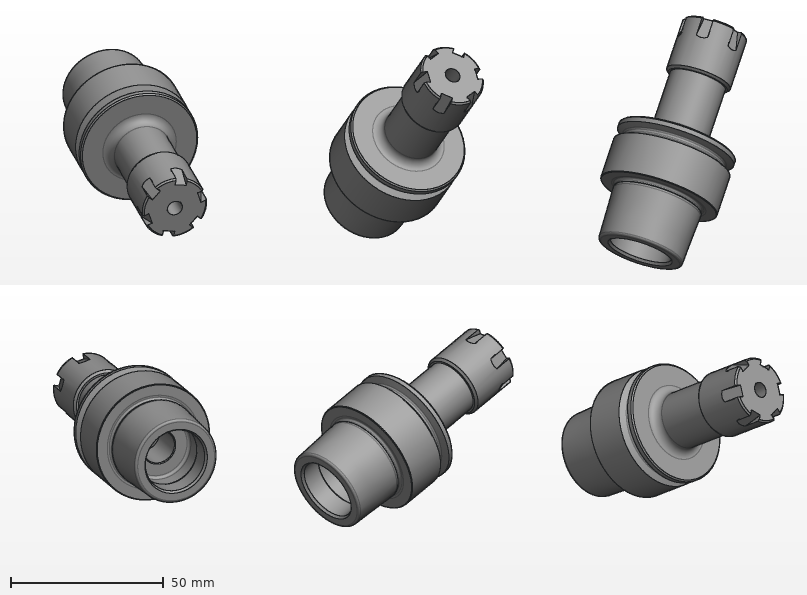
import cadquery as cq
import math

total_length = 79.9
taper_length = 17.7
collar_start = 19.8
collar_end = 39.9
nut_start = 61.4

taper_small_radius = 14.4
taper_large_radius = 15.1
mouth_rounding = 0.8

relief_radius = 14.8
relief_start = 18.45
relief_ramp = 0.2
relief_end = 19.2
undercut_fillet = 0.7
undercut_outer_radius = 16.2

collar_radius = 20.015
collar_front_chamfer = 0.2
collar_back_chamfer = 0.5
groove_center = 35.8
groove_top_width = 4.1
groove_bottom_width = 1.6
groove_depth = 2.55
groove_fillet = 0.6

neck_radius = 9.5
neck_fillet = 3.0

mouth_radius = 10.5
mouth_chamfer_depth = 0.55
mouth_chamfer_length = 0.95
mouth_depth = 7.8
clamp_groove_radius = 10.9
clamp_groove_ramp = 0.4
cavity_depth = 14.9
cavity_floor_radius = 9.9
inner_bore_radius = 5.6
inner_bore_chamfer = 0.3
inner_bore_depth = 28.0
through_radius = 2.55

nut_radius = 10.99
nut_back_chamfer = 0.8
nut_front_chamfer = 0.55
slot_count = 6
slot_width = 3.9
slot_length = 7.1
slot_slope = 18.0
slot_phase = 13.0


def turned(profile):
    """Revolve an (x, radius) outline around the X axis."""
    return profile.close().revolve(360, (0, 0, 0), (1, 0, 0))


def make_holder_blank():
    """Taper, collar and neck as one turned body, still without groove and bore."""
    profile = (
        cq.Workplane("XY")
        .moveTo(0, 0)
        .lineTo(0, taper_small_radius - mouth_rounding)
        .radiusArc((mouth_rounding, taper_small_radius), mouth_rounding)
        .lineTo(taper_length, taper_large_radius)
        .lineTo(relief_start, taper_large_radius)
        .lineTo(relief_start + relief_ramp, relief_radius)
        .lineTo(relief_end, relief_radius)
        .radiusArc(
            (relief_end + undercut_fillet, relief_radius + undercut_fillet),
            -undercut_fillet,
        )
        .lineTo(collar_start, undercut_outer_radius)
        .lineTo(collar_start, collar_radius - collar_front_chamfer)
        .lineTo(collar_start + collar_front_chamfer, collar_radius)
        .lineTo(collar_end - collar_back_chamfer, collar_radius)
        .lineTo(collar_end, collar_radius - collar_back_chamfer)
        .lineTo(collar_end, neck_radius + neck_fillet)
        .radiusArc((collar_end + neck_fillet, neck_radius), -neck_fillet)
        .lineTo(nut_start, neck_radius)
        .lineTo(nut_start, 0)
    )
    return turned(profile)


def make_v_groove():
    """Ring cutter for the collar groove, with rounded bottom corners."""
    bottom = collar_radius - groove_depth
    profile = (
        cq.Workplane("XY")
        .moveTo(groove_center - groove_top_width / 2, collar_radius)
        .lineTo(groove_center - groove_bottom_width / 2, bottom)
        .lineTo(groove_center + groove_bottom_width / 2, bottom)
        .lineTo(groove_center + groove_top_width / 2, collar_radius)
    )
    bottom_edges = cq.selectors.RadiusNthSelector(0)
    return turned(profile).edges(bottom_edges).fillet(groove_fillet)


def make_bore():
    """Cutter for the stepped bore, widest in the clamping groove behind the mouth."""
    floor_fillet = clamp_groove_radius - cavity_floor_radius
    profile = (
        cq.Workplane("XY")
        .moveTo(0, 0)
        .lineTo(0, mouth_radius + mouth_chamfer_depth)
        .lineTo(mouth_chamfer_length, mouth_radius)
        .lineTo(mouth_depth, mouth_radius)
        .lineTo(mouth_depth + clamp_groove_ramp, clamp_groove_radius)
        .lineTo(cavity_depth - floor_fillet, clamp_groove_radius)
        .radiusArc((cavity_depth, cavity_floor_radius), floor_fillet)
        .lineTo(cavity_depth, inner_bore_radius + inner_bore_chamfer)
        .lineTo(cavity_depth + inner_bore_chamfer, inner_bore_radius)
        .lineTo(inner_bore_depth, inner_bore_radius)
        .lineTo(inner_bore_depth, through_radius)
        .lineTo(nut_start, through_radius)
        .lineTo(nut_start, 0)
    )
    return turned(profile)


def make_wrench_slot():
    """Cutter on the +Z side whose sloping floor meets the nut surface at the slot's inner end."""
    floor_drop = slot_length * math.tan(math.radians(slot_slope))
    return (
        cq.Workplane("XZ")
        .moveTo(total_length - slot_length, nut_radius)
        .lineTo(total_length, nut_radius - floor_drop)
        .lineTo(total_length, nut_radius)
        .close()
        .extrude(slot_width / 2, both=True)
    )


def make_nut():
    """Bored and chamfered cylinder butting against the neck, slotted around its free end."""
    nut = (
        cq.Workplane("YZ", origin=(nut_start, 0, 0))
        .circle(nut_radius)
        .extrude(total_length - nut_start)
    )
    nut = nut.faces("<X").chamfer(nut_back_chamfer).faces(">X").chamfer(nut_front_chamfer)
    bore = (
        cq.Workplane("YZ", origin=(nut_start, 0, 0))
        .circle(through_radius)
        .extrude(total_length - nut_start)
    )
    nut = nut.cut(bore)
    slot = make_wrench_slot()
    for index in range(slot_count):
        angle = index * 360 / slot_count - slot_phase
        nut = nut.cut(slot.rotate((0, 0, 0), (1, 0, 0), angle))
    return nut


holder = make_holder_blank().cut(make_v_groove()).cut(make_bore())
nut = make_nut()

result = cq.Compound.makeCompound([holder.val(), nut.val()])